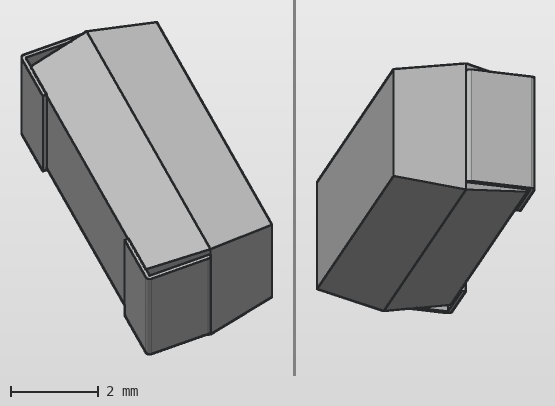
import cadquery as cq
import math

case_length = 6.91
case_width = 3.17
front_half_depth = 1.52
back_half_depth = 1.65
face_inset = 0.242

lead_thickness = 0.1
lead_width = 2.8
foot_length = 1.27

mounting_face_y = lead_thickness
parting_y = mounting_face_y + front_half_depth


def case_half(depth, direction):
    """Half of the case, narrowing from the parting plane towards direction (+1 or -1) along Y."""
    parting_plane = cq.Plane(origin=(0, parting_y, 0), xDir=(1, 0, 0), normal=(0, direction, 0))
    return (
        cq.Workplane(parting_plane)
        .rect(case_length, case_width)
        .workplane(offset=depth)
        .rect(case_length - 2 * face_inset, case_width - 2 * face_inset)
        .loft(ruled=True)
    )


def lead(side):
    """Lead at the +X or -X end (side +1 or -1), with a rounded tip and a rounded outer bend."""
    inner_x = case_length / 2
    outer_x = inner_x + lead_thickness
    foot_end_x = outer_x - foot_length
    arc_reach = lead_thickness * math.sqrt(0.5)

    profile = (
        cq.Workplane("XY")
        .workplane(offset=-lead_width / 2)
        .moveTo(side * foot_end_x, 0)
        .lineTo(side * inner_x, 0)
        .threePointArc(
            (side * (inner_x + arc_reach), mounting_face_y - arc_reach),
            (side * outer_x, mounting_face_y),
        )
        .lineTo(side * outer_x, parting_y - lead_thickness)
        .threePointArc(
            (side * (inner_x + arc_reach), parting_y - lead_thickness + arc_reach),
            (side * inner_x, parting_y),
        )
        .lineTo(side * inner_x, mounting_face_y)
        .lineTo(side * foot_end_x, mounting_face_y)
        .close()
    )
    return profile.extrude(lead_width)


front_half = case_half(front_half_depth, -1)
back_half = case_half(back_half_depth, 1)
leads = [lead(side) for side in (-1, 1)]

result = cq.Compound.makeCompound(
    [front_half.val(), back_half.val(), *[one_lead.val() for one_lead in leads]]
)